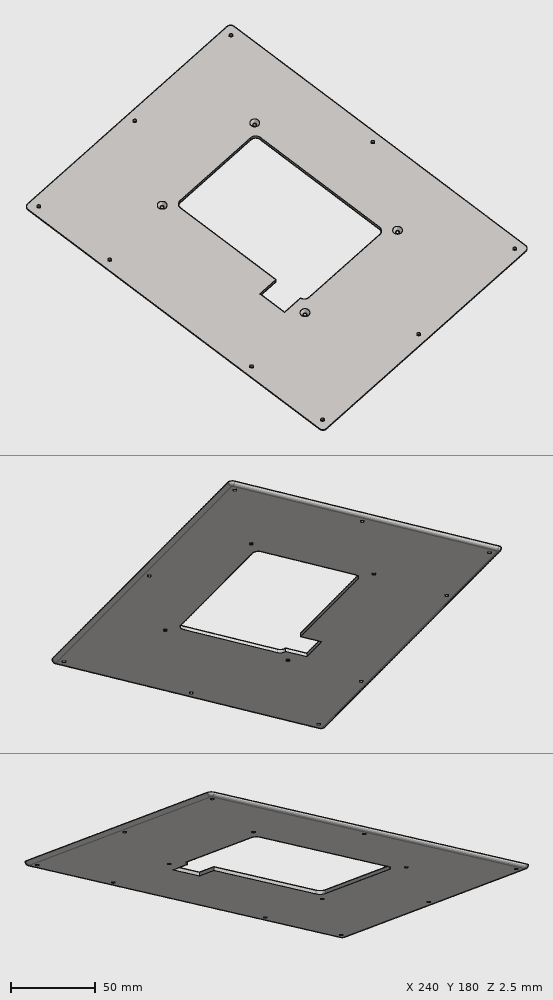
import cadquery as cq

length = 240.0
width = 180.0
thickness = 2.5
corner_radius = 3.0
bottom_rounding = 2.35

border_hole_diameter = 2.2
border_inset = 6.0

window_left = -55.2
window_right = 48.2
window_bottom = -28.0
window_top = 41.3
window_radius = 3.8

notch_left = 25.2
notch_right = 45.0
notch_bottom = -42.0

screw_diameter = 2.2
countersink_diameter = 5.8
countersink_angle = 90.0
screw_left = -60.7
screw_spacing_x = 114.7
screw_bottom = -34.0
screw_spacing_y = 81.0


def box_between(left, right, bottom, top):
    """Full-thickness block between the given X and Y limits."""
    return (
        cq.Workplane("XY")
        .center((left + right) / 2, (bottom + top) / 2)
        .rect(right - left, top - bottom)
        .extrude(thickness)
    )


plate = (
    box_between(-length / 2, length / 2, -width / 2, width / 2)
    .edges("|Z")
    .fillet(corner_radius)
    .faces("<Z")
    .edges()
    .fillet(bottom_rounding)
)

window = (
    box_between(window_left, window_right, window_bottom, window_top)
    .edges("|Z")
    .fillet(window_radius)
)
notch_top = window_bottom + window_radius
notch = box_between(notch_left, notch_right, notch_bottom, notch_top)
plate = plate.cut(window).cut(notch)

border_x = length / 2 - border_inset
border_y = width / 2 - border_inset
border_points = [(x, y) for x in (-border_x, border_x) for y in (-border_y, 0, border_y)]
border_points += [(0, border_y), (-border_x / 2, -border_y), (border_x / 2, -border_y)]
plate = (
    plate.faces(">Z")
    .workplane(origin=(0, 0, thickness))
    .pushPoints(border_points)
    .hole(border_hole_diameter)
)

screw_points = [
    (x, y)
    for x in (screw_left, screw_left + screw_spacing_x)
    for y in (screw_bottom, screw_bottom + screw_spacing_y)
]
result = (
    plate.faces(">Z")
    .workplane(origin=(0, 0, thickness))
    .pushPoints(screw_points)
    .cskHole(screw_diameter, countersink_diameter, countersink_angle)
)